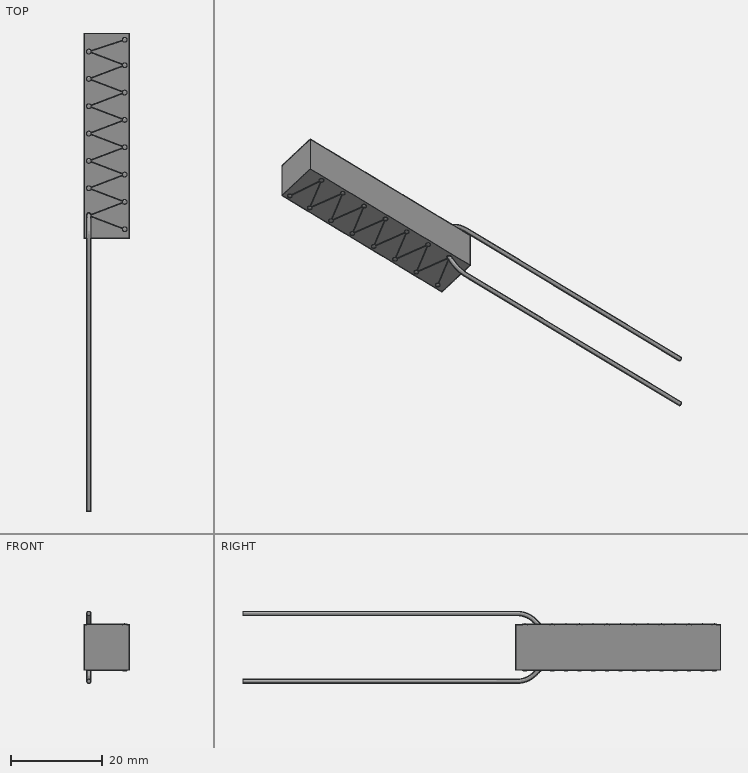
import cadquery as cq
import math

total_length = 105.0
total_height = 15.8

block_side = 10.0
block_length = 45.0
near_slab = 0.5
far_slab = 0.3
layer_count = 15
layer_pitch = block_length / layer_count

terminal_inset = 1.0
terminal_diameter = 1.0
strip_width = 0.1
strip_height = 0.1
dome_rise = 0.1

lead_diameter = 0.9
lead_bend_radius = 5.5
lead_slope = 45.0
lead_layer = 1
lead_overrun = 2.1

front_y = total_length - block_length
layer_starts = [front_y + near_slab + layer_pitch * i for i in range(layer_count)]
layer_ends = layer_starts[1:] + [total_length - far_slab]
terminal_x = block_side / 2 - terminal_inset
terminal_points = [
    (terminal_x * (1 if i % 2 == 0 else -1), (start + end) / 2)
    for i, (start, end) in enumerate(zip(layer_starts, layer_ends))
]
block_top = block_side / 2
rim_top = block_top + strip_height
dome_top = rim_top + dome_rise
lead_point = terminal_points[lead_layer]


def slab(start, end):
    """Square slice of the block between two positions along Y."""
    return cq.Workplane("XY").box(block_side, end - start, block_side).translate((0, (start + end) / 2, 0))


def terminal_holes():
    """Round bars that cut the holes through the block for the terminals."""
    return (
        cq.Workplane("XY").workplane(offset=-block_top)
        .pushPoints(terminal_points).circle(terminal_diameter / 2).extrude(block_side)
    )


def make_terminal(point):
    """Round post through the block, with a domed head above and below it."""
    radius = terminal_diameter / 2
    sphere_radius = (radius ** 2 + dome_rise ** 2) / (2 * dome_rise)
    arc_x = radius / 2
    arc_z = dome_top - sphere_radius + math.sqrt(sphere_radius ** 2 - arc_x ** 2)
    profile = (
        cq.Workplane("XZ").moveTo(0, -dome_top)
        .threePointArc((arc_x, -arc_z), (radius, -rim_top))
        .lineTo(radius, rim_top)
        .threePointArc((arc_x, arc_z), (0, dome_top))
        .close()
    )
    return profile.revolve(360, (0, 0, 0), (0, 1, 0)).translate((point[0], point[1], 0))


def make_block():
    """Stack of slabs fused into one solid, keeping the joints as face boundaries."""
    joints = layer_starts + [total_length - far_slab, total_length]
    block = slab(front_y, joints[0])
    for start, end in zip(joints, joints[1:]):
        block = block.union(slab(start, end), clean=False)
    return block.cut(terminal_holes(), clean=False)


def strip(start, end, base_z):
    """Flat conductor joining two terminals."""
    dx = end[0] - start[0]
    dy = end[1] - start[1]
    return (
        cq.Workplane("XY").box(math.hypot(dx, dy), strip_width, strip_height, centered=(True, True, False))
        .rotate((0, 0, 0), (0, 0, 1), math.degrees(math.atan2(dy, dx)))
        .translate(((start[0] + end[0]) / 2, (start[1] + end[1]) / 2, base_z))
    )


def make_winding():
    """Terminals joined by a zigzag of strips on the top and the bottom of the block."""
    winding = make_terminal(terminal_points[0])
    for start, end in zip(terminal_points, terminal_points[1:]):
        winding = winding.union(make_terminal(end))
        for base_z in (block_top, -block_top - strip_height):
            winding = winding.union(strip(start, end, base_z))
    return winding


def make_lead(winding):
    """Upper lead: rises at a slope from its terminal, bends, then runs straight along -Y.

    It is trimmed where it meets the block and the winding.
    """
    x, y = lead_point
    axis_z = total_height / 2 - lead_diameter / 2
    slope = math.radians(lead_slope)
    bend_start_z = axis_z - lead_bend_radius * (1 - math.cos(slope))
    bend_start_y = y - (bend_start_z - block_top) / math.tan(slope)
    bend_mid_y = bend_start_y - lead_bend_radius * (math.sin(slope) - math.sin(slope / 2))
    bend_mid_z = axis_z - lead_bend_radius * (1 - math.cos(slope / 2))
    bend_end_y = bend_start_y - lead_bend_radius * math.sin(slope)
    path = (
        cq.Workplane("YZ", origin=(x, 0, 0))
        .moveTo(0, axis_z).lineTo(bend_end_y, axis_z)
        .threePointArc((bend_mid_y, bend_mid_z), (bend_start_y, bend_start_z))
        .lineTo(y + lead_overrun / math.tan(slope), block_top - lead_overrun)
    )
    lead = cq.Workplane("XZ", origin=(x, 0, axis_z)).circle(lead_diameter / 2).sweep(path)
    block_space = cq.Workplane("XY").box(block_side, 2 * total_length, block_side)
    return lead.cut(block_space).cut(winding)


block = make_block()
winding = make_winding()
upper_lead = make_lead(winding)
lower_lead = upper_lead.mirror("XY")

result = cq.Compound.makeCompound([block.val(), winding.val(), upper_lead.val(), lower_lead.val()])